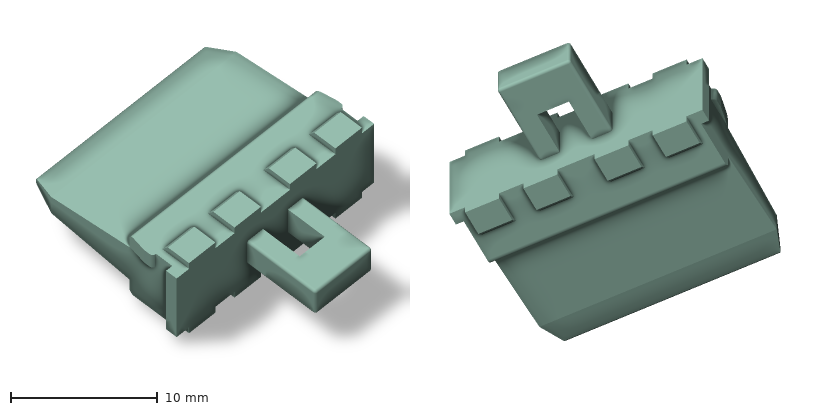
import cadquery as cq

length = 21.3
total_height = 7.4
flange_width = 19.25
blade_width = 18.06

tip_round_end = 0.2
bevel_end = 2.3
shoulder = 9.73
tooth_front = 12.27
flange_front = 13.8
back = 14.8

tip_half_height = 0.3
bevel_half_height = 0.85
blade_end_half_height = 1.7
block_half_height = 3.09
shoulder_radius = 0.47

tip_width = 16.35

tooth_width = 2.58
tooth_slope_length = 0.53
inner_tooth_y = 2.7
outer_tooth_y = 7.14

latch_bottom = 1.77
latch_width = 18.7
latch_flat_start = 11.44
latch_radius = 0.32

tang_width = 5.54
tang_height = 2.39
tang_radius = 0.21
slot_end = 18.3
slot_width = 2.43


def make_body():
    """Wedge-shaped blade and rectangular block, extruded across the width."""
    body = (
        cq.Workplane("XZ")
        .moveTo(tip_round_end, -tip_half_height)
        .threePointArc((0, 0), (tip_round_end, tip_half_height))
        .lineTo(bevel_end, bevel_half_height)
        .lineTo(shoulder, blade_end_half_height)
        .lineTo(shoulder, block_half_height)
        .lineTo(back, block_half_height)
        .lineTo(back, -block_half_height)
        .lineTo(shoulder, -block_half_height)
        .lineTo(shoulder, -blade_end_half_height)
        .lineTo(bevel_end, -bevel_half_height)
        .close()
        .extrude(blade_width / 2, both=True)
    )
    outline = (
        cq.Workplane("XY")
        .moveTo(0, -tip_width / 2)
        .lineTo(bevel_end, -blade_width / 2)
        .lineTo(back, -blade_width / 2)
        .lineTo(back, blade_width / 2)
        .lineTo(bevel_end, blade_width / 2)
        .lineTo(0, tip_width / 2)
        .close()
        .extrude(block_half_height, both=True)
    )
    return body.intersect(outline)


def make_latches():
    """Ramped catches, symmetric on both sides of the upper block."""
    half_width = latch_width / 2
    round_start = tooth_front - latch_radius
    base_half_width = half_width - latch_radius
    return (
        cq.Workplane("XY", origin=(0, 0, latch_bottom))
        .moveTo(shoulder, -blade_width / 2)
        .lineTo(latch_flat_start, -half_width)
        .lineTo(round_start, -half_width)
        .radiusArc((tooth_front, -base_half_width), -latch_radius)
        .lineTo(tooth_front, base_half_width)
        .radiusArc((round_start, half_width), -latch_radius)
        .lineTo(latch_flat_start, half_width)
        .lineTo(shoulder, blade_width / 2)
        .close()
        .extrude(block_half_height - latch_bottom)
    )


def make_tooth_pair(center_y):
    """Bar through the block whose sloped ends stand out above and below."""
    half_height = total_height / 2
    slope_end = tooth_front + tooth_slope_length
    return (
        cq.Workplane("XZ", origin=(0, center_y, 0))
        .moveTo(tooth_front, -block_half_height)
        .lineTo(tooth_front, block_half_height)
        .lineTo(slope_end, half_height)
        .lineTo(back, half_height)
        .lineTo(back, -half_height)
        .lineTo(slope_end, -half_height)
        .close()
        .extrude(tooth_width / 2, both=True)
    )


def make_flange():
    """Wider plate at the back of the block."""
    return (
        cq.Workplane("XY", origin=(flange_front, 0, 0))
        .box(back - flange_front, flange_width, 2 * block_half_height, centered=(False, True, True))
    )


def make_tang():
    """Rounded tongue with a rectangular slot through its thickness."""
    tang = (
        cq.Workplane("XY", origin=(back, 0, 0))
        .box(length - back, tang_width, tang_height, centered=(False, True, True))
        .edges(">X or (|X and >Z) or (|X and <Z)")
        .fillet(tang_radius)
    )
    slot = (
        cq.Workplane("XY", origin=(back, 0, 0))
        .box(slot_end - back, slot_width, tang_height, centered=(False, True, True))
    )
    return tang.cut(slot)


result = make_body().union(make_latches())
front_edges = "(>Z or <Z) and |Y"
front_zone = cq.selectors.BoxSelector(
    (bevel_end, -flange_width, -total_height),
    (latch_flat_start, flange_width, total_height),
)
result = result.edges(front_edges).edges(front_zone).fillet(shoulder_radius)
for tooth_y in (-outer_tooth_y, -inner_tooth_y, inner_tooth_y, outer_tooth_y):
    result = result.union(make_tooth_pair(tooth_y))
result = result.union(make_flange()).union(make_tang())